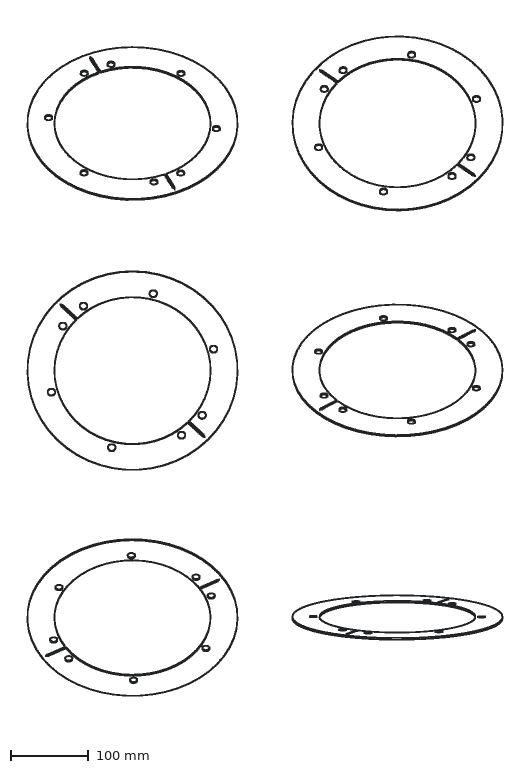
import cadquery as cq
import math

OUTER_DIAMETER = 269.62
INNER_DIAMETER = 200.0
THICKNESS = 2.39

HOLE_DIAMETER = 9.525
HOLE_CIRCLE_DIAMETER = 215.9
HOLE_ANGLES = (10.1, 60.0)

SLOT_WIDTH = 2.4
SLOT_TAPER_START = 126.2
SLOT_TIP = 129.3

SIDES = (-1, 1)


def make_ring():
    """Flat ring centred on the Z axis, resting on Z = 0."""
    ring = cq.Workplane("XY").circle(OUTER_DIAMETER / 2).circle(INNER_DIAMETER / 2)
    return ring.extrude(THICKNESS)


def make_holes():
    """Through holes mirrored about both the X and Y axes."""
    centres = []
    for angle in HOLE_ANGLES:
        x = HOLE_CIRCLE_DIAMETER / 2 * math.cos(math.radians(angle))
        y = HOLE_CIRCLE_DIAMETER / 2 * math.sin(math.radians(angle))
        for x_side in SIDES:
            for y_side in SIDES:
                centres.append((x_side * x, y_side * y))
    holes = cq.Workplane("XY").pushPoints(centres).circle(HOLE_DIAMETER / 2)
    return holes.extrude(THICKNESS)


def make_slots():
    """One long cutter along X with pointed ends, leaving a narrow bridge at the rim on each side."""
    half_width = SLOT_WIDTH / 2
    outline = [
        (SLOT_TIP, 0),
        (SLOT_TAPER_START, half_width),
        (-SLOT_TAPER_START, half_width),
        (-SLOT_TIP, 0),
        (-SLOT_TAPER_START, -half_width),
        (SLOT_TAPER_START, -half_width),
    ]
    return cq.Workplane("XY").polyline(outline).close().extrude(THICKNESS)


result = make_ring().cut(make_holes()).cut(make_slots())